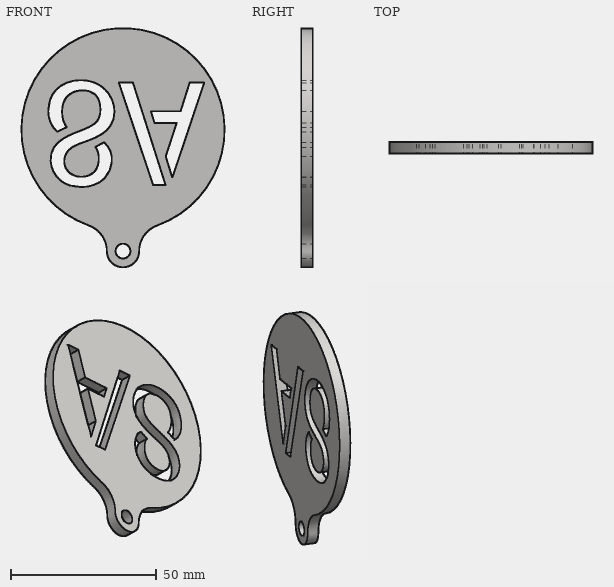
import cadquery as cq
import math

thickness = 4.0
total_height = 82.3
disc_radius = 35.0
tab_radius = 5.6
hole_diameter = 5.0

tab_z = disc_radius + tab_radius - total_height
neck_radius = (tab_z**2 / (disc_radius - tab_radius) - disc_radius - tab_radius) / 2
neck_x = tab_radius + neck_radius
neck_angle = math.atan2(tab_z, neck_x)
disc_touch_x = disc_radius * math.cos(neck_angle)
disc_touch_z = disc_radius * math.sin(neck_angle)
neck_mid_angle = math.pi + neck_angle / 2
neck_mid_x = neck_x + neck_radius * math.cos(neck_mid_angle)
neck_mid_z = tab_z + neck_radius * math.sin(neck_mid_angle)

letter_top = 16.2
letter_bottom = -18.9
bar_top = 6.3
bar_bottom = 2.4
long_stroke = [
    (-1.4, letter_top),
    (3.4, letter_top),
    (14.6, letter_bottom),
    (10.4, letter_bottom),
]
barred_stroke = [
    (23.0, letter_top),
    (27.9, letter_top),
    (16.95, -16.4),
    (14.7, -9.1),
    (18.5, bar_bottom),
    (10.9, bar_bottom),
    (9.6, bar_top),
    (19.8, bar_top),
]

right_edge = [
    (-22.6, -0.65),
    (-25.7, 6.5),
    (-23.2, 13.5),
    (-14.5, 17.0),
    (-6.5, 14.15),
    (-3.0, 6.25),
    (-4.45, 1.2),
    (-7.1, -1.3),
    (-11.85, -3.6),
    (-15.0, -4.8),
    (-18.85, -7.2),
    (-20.25, -10.9),
    (-18.7, -14.6),
    (-14.3, -16.2),
    (-9.95, -14.6),
    (-8.3, -10.7),
    (-9.5, -5.9),
]
left_edge = [
    (-19.4, 0.9),
    (-21.0, 6.5),
    (-19.25, 11.4),
    (-14.3, 13.6),
    (-9.55, 12.1),
    (-7.7, 6.7),
    (-8.7, 3.2),
    (-11.85, 0.8),
    (-16.6, -1.15),
    (-20.1, -2.8),
    (-23.6, -5.9),
    (-24.85, -10.7),
    (-21.6, -17.4),
    (-14.3, -19.7),
    (-6.3, -16.6),
    (-3.9, -10.9),
    (-6.5, -4.4),
]


def back_plane():
    """Sketch plane on the rear face; extrusions run forward through the tag."""
    return cq.Workplane("XZ", origin=(0, thickness / 2, 0))


def tag_plate():
    """Disc with a hanging tab, joined by concave necks."""
    return (
        back_plane()
        .moveTo(-disc_touch_x, disc_touch_z)
        .threePointArc((0, disc_radius), (disc_touch_x, disc_touch_z))
        .threePointArc((neck_mid_x, neck_mid_z), (tab_radius, tab_z))
        .threePointArc((0, tab_z - tab_radius), (-tab_radius, tab_z))
        .threePointArc((-neck_mid_x, neck_mid_z), (-disc_touch_x, disc_touch_z))
        .close()
        .extrude(thickness)
    )


def straight_cutter(points):
    """Through cutter with straight sides."""
    return back_plane().polyline(points).close().extrude(thickness)


def figure_eight_cutter():
    """Through cutter for the curved band, closed by a straight edge at each tip."""
    return (
        back_plane()
        .moveTo(*right_edge[0])
        .spline(right_edge[1:], includeCurrent=True)
        .lineTo(*left_edge[-1])
        .spline(left_edge[-2::-1], includeCurrent=True)
        .close()
        .extrude(thickness)
    )


def hole_cutter():
    """Hanging hole at the tab centre."""
    return back_plane().center(0, tab_z).circle(hole_diameter / 2).extrude(thickness)


result = tag_plate().cut(hole_cutter()).cut(figure_eight_cutter())
for stroke in (long_stroke, barred_stroke):
    result = result.cut(straight_cutter(stroke))